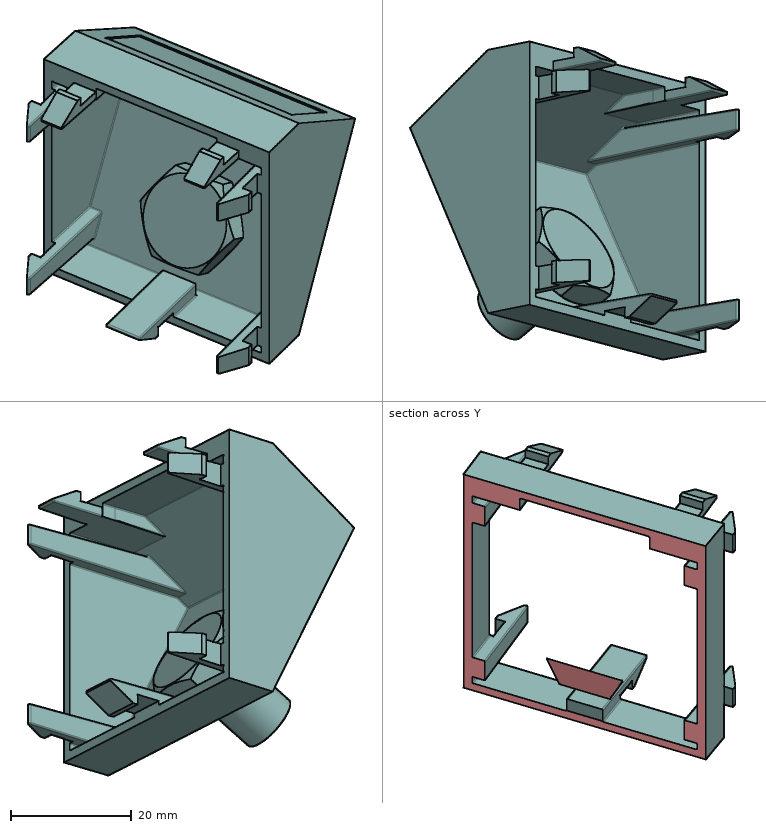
import cadquery as cq
import math


RIM_SIZE = 45.0
HALF = RIM_SIZE / 2
SHOULDER_Y = 9.22
APEX_Y = 26.6
APEX_Z = 34.35 - HALF
WALL = 1.6
DRAFT = math.tan(math.radians(1.0))
CAVITY_ROUND = 0.2
PAD_INNER_X = 12.0

RECESS_WIDTH = 37.2
RECESS_LENGTH = 12.35
RECESS_DEPTH = 0.25

CLIP_REACH = 10.2
CLIP_OUTER_INSET = 2.35
CLIP_INNER_INSET = 4.0
CLIP_TIP_INSET = 3.38
HOOK_START = 4.45
HOOK_END = 5.4
HOOK_INSET = 0.55
TOP_HOOK_INSET = 0.7
TIP_ROUND = 0.3
EDGE_ROUND = 0.22
SIDE_CLIP_WIDTH = 3.95
TOP_CLIP_WIDTH = 4.4
BOTTOM_CLIP_WIDTH = 6.65
BOTTOM_ROOT_END = 6.8
SIDE_CLIP_HEIGHTS = (-17.55, 14.95)
TOP_CLIP_X = 14.25

BUTTON_UP_PANEL = 13.0
SHAFT_DIAMETER = 10.2
SHAFT_END = 11.85
FLANGE_DIAMETER = 14.9
FLANGE_THICKNESS = 0.95
NUT_CORNERS = 18.7
NUT_FACE_DIAMETER = 15.95
NUT_CHAMFER = math.radians(30)
NUT_HEIGHT = 4.72
NUT_GAP = 1.0

TOLERANCE = 0.0005

PANEL_TILT = math.atan2(APEX_Y - SHOULDER_Y, APEX_Z + HALF)
ROOF_TILT = math.atan2(HALF - APEX_Z, APEX_Y - SHOULDER_Y)


def profile(rim_y):
    """Closed side outline of the housing, with its open side at rim_y."""
    corners = [
        (rim_y, -HALF),
        (SHOULDER_Y, -HALF),
        (APEX_Y, APEX_Z),
        (SHOULDER_Y, HALF),
        (rim_y, HALF),
    ]
    return cq.Workplane("YZ").polyline(corners).close()


def tapered_block(half_width):
    """Block with drafted X sides that has the given half width at the rim."""
    back = half_width - APEX_Y * DRAFT
    corners = [(-half_width, 0), (half_width, 0), (back, APEX_Y), (-back, APEX_Y)]
    return cq.Workplane("XY").polyline(corners).close().extrude(HALF, both=True)


def make_envelope():
    """Outer shape of the housing, without its cavity."""
    return profile(0).extrude(HALF, both=True).intersect(tapered_block(HALF))


def make_cavity():
    """Inside of the housing, one wall thickness within the envelope and open at the rim."""
    inside = profile(-WALL).offset2D(-WALL, "intersection").extrude(HALF, both=True)
    return inside.intersect(tapered_block(HALF - WALL))


def make_recess():
    """Shallow label recess, centred on the roof and square to it."""
    roof = cq.Plane(
        origin=(0, (SHOULDER_Y + APEX_Y) / 2, (HALF + APEX_Z) / 2),
        xDir=(1, 0, 0),
        normal=(0, math.sin(ROOF_TILT), math.cos(ROOF_TILT)),
    )
    return cq.Workplane(roof).rect(RECESS_WIDTH, RECESS_LENGTH).extrude(-RECESS_DEPTH)


def make_pad(side):
    """Thick pad under the top wall, from the side wall to beside a top clip."""
    rim_z = HALF - CLIP_INNER_INSET
    corners = [(0, HALF), (0, rim_z), (APEX_Y, rim_z - APEX_Y * DRAFT), (APEX_Y, HALF)]
    pad = cq.Workplane("YZ").polyline(corners).close().extrude(HALF - PAD_INNER_X)
    pad = pad.translate((PAD_INNER_X, 0, 0))
    return pad if side > 0 else pad.mirror("YZ")


def make_clip(width, hook_inset, side_draft, root_end):
    """Snap clip on the bottom wall, centred on X = 0, with a root filled out to the wall up to root_end."""
    inner_face = [
        (root_end, CLIP_INNER_INSET + root_end * DRAFT),
        (-CLIP_REACH, CLIP_INNER_INSET - CLIP_REACH * DRAFT),
    ]
    outer_face = [
        (-CLIP_REACH, CLIP_TIP_INSET),
        (-HOOK_END, hook_inset),
        (-HOOK_START, hook_inset),
        (-HOOK_START, CLIP_OUTER_INSET),
        (0, CLIP_OUTER_INSET),
        (0, 0),
        (root_end, 0),
    ]
    corners = [(y, inset - HALF) for y, inset in inner_face + outer_face]
    clip = cq.Workplane("YZ").polyline(corners).close().extrude(width, both=True)

    tip = width / 2 - CLIP_REACH * side_draft
    back = width / 2 + root_end * side_draft
    outline = [(-tip, -CLIP_REACH), (tip, -CLIP_REACH), (back, root_end), (-back, root_end)]
    clip = clip.intersect(cq.Workplane("XY").polyline(outline).close().extrude(-RIM_SIZE))
    clip = clip.faces(">Z").edges("<Y").fillet(TIP_ROUND)
    return clip.faces(">Z").edges("not |X").fillet(EDGE_ROUND)


def turn(clip, angle):
    """Turn a clip from the bottom wall to another wall."""
    return clip.rotate((0, 0, 0), (0, 1, 0), angle)


def make_clips():
    """Four side clips, two top clips and one wide bottom clip."""
    side_clip = make_clip(SIDE_CLIP_WIDTH, HOOK_INSET, DRAFT, APEX_Y)
    top_clip = make_clip(TOP_CLIP_WIDTH, TOP_HOOK_INSET, DRAFT, APEX_Y)
    clips = [make_clip(BOTTOM_CLIP_WIDTH, HOOK_INSET, 0, BOTTOM_ROOT_END)]
    for side in (-1, 1):
        clips.append(turn(top_clip, 180).translate((side * TOP_CLIP_X, 0, 0)))
        for height in SIDE_CLIP_HEIGHTS:
            clips.append(turn(side_clip, -side * 90).translate((0, 0, height)))
    return clips


def panel_plane():
    """Plane on the outer face of the panel, at the button axis and facing outward."""
    return cq.Plane(
        origin=(
            0,
            SHOULDER_Y + BUTTON_UP_PANEL * math.sin(PANEL_TILT),
            BUTTON_UP_PANEL * math.cos(PANEL_TILT) - HALF,
        ),
        xDir=(1, 0, 0),
        normal=(0, math.cos(PANEL_TILT), -math.sin(PANEL_TILT)),
    )


def round_inner_corners(housing, cavity):
    """Round the corners where the cavity walls meet each other, the pads and the clip roots."""
    corners = []
    for edge in housing.edges("%LINE").vals():
        points = [edge.startPoint(), edge.Center(), edge.endPoint()]
        vertices = [cq.Vertex.makeVertex(*point.toTuple()) for point in points]
        on_rim = all(abs(point.y) < TOLERANCE for point in points)
        for wall in cavity.faces("not <Y").vals():
            on_wall = all(wall.distance(vertex) < TOLERANCE for vertex in vertices)
            if on_wall and not on_rim:
                corners.append(edge)
                break
    return housing.newObject(corners).fillet(CAVITY_ROUND)


def make_housing():
    """Hollow wedge-shaped housing with its pads, clips, label recess and button hole."""
    envelope = make_envelope()
    front_space = cq.Workplane("XZ").rect(RIM_SIZE, RIM_SIZE).extrude(CLIP_REACH)
    allowed = envelope.union(front_space)

    cavity = make_cavity()
    housing = envelope.cut(cavity)
    for side in (-1, 1):
        housing = housing.union(make_pad(side).intersect(envelope))
    for clip in make_clips():
        housing = housing.union(clip.intersect(allowed))
    housing = round_inner_corners(housing, cavity)

    hole = cq.Workplane(panel_plane()).circle(SHAFT_DIAMETER / 2).extrude(-2 * WALL)
    return housing.cut(make_recess()).cut(hole)


def make_button():
    """Button shaft with its outer flange and the hexagon inside the housing."""
    nut_start = -(WALL + NUT_GAP)
    nut_end = nut_start - NUT_HEIGHT
    plane = cq.Workplane(panel_plane())

    shaft = plane.workplane(offset=nut_end).circle(SHAFT_DIAMETER / 2).extrude(SHAFT_END - nut_end)
    flange = plane.circle(FLANGE_DIAMETER / 2).extrude(FLANGE_THICKNESS)

    chamfer_width = (NUT_CORNERS - NUT_FACE_DIAMETER) / 2
    chamfer_height = chamfer_width * math.tan(NUT_CHAMFER)
    turned = [
        (0, nut_end),
        (NUT_FACE_DIAMETER / 2, nut_end),
        (NUT_CORNERS / 2, nut_end + chamfer_height),
        (NUT_CORNERS / 2, nut_start - chamfer_height),
        (NUT_FACE_DIAMETER / 2, nut_start),
        (0, nut_start),
    ]
    base = panel_plane()
    axis_plane = cq.Plane(origin=base.origin, xDir=base.xDir, normal=-base.yDir)
    blank = cq.Workplane(axis_plane).polyline(turned).close().revolve(360, (0, 0), (0, 1))
    nut = plane.workplane(offset=nut_end).polygon(6, NUT_CORNERS).extrude(NUT_HEIGHT).intersect(blank)
    return shaft.union(flange).union(nut)


housing = make_housing()
button = make_button()
result = cq.Compound.makeCompound([housing.solids().val(), button.solids().val()])